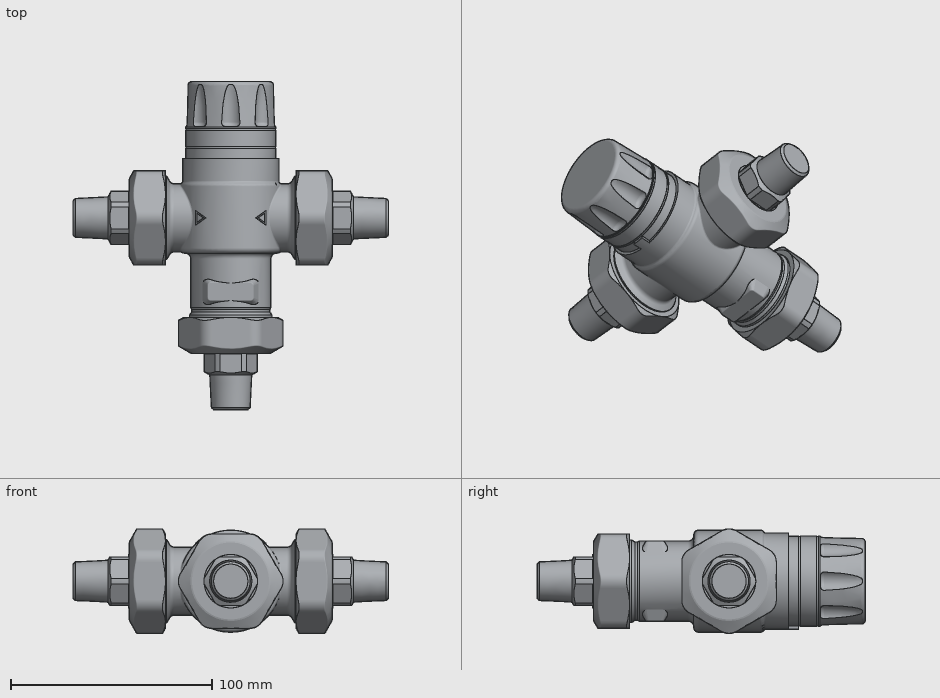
import cadquery as cq
import math

CAP_TOP_Y = 67.85
CAP_BASE_Y = 45.2
CAP_TOP_RADIUS = 21.3
CAP_BASE_RADIUS = 22.3
CAP_EDGE_FILLET = 2.2
RING_RADIUS = 22.5
RING_GROOVES_Y = (34.5, 43.5)
RING_GROOVE_WIDTH = 1.0
RING_GROOVE_DEPTH = 0.15
COLLAR_TOP_Y = 29.6
COLLAR_RADIUS = 24.0
BODY_RADIUS = 25.45
BODY_HALF_LENGTH = 17.6
BODY_TOP_FILLET = 2.0
BODY_BOTTOM_FILLET = 2.5
COLLAR_ROOT_FILLET = 1.0
STEM_RADIUS = 20.0
STEM_ROOT_FILLET = 2.7
STEM_END_Y = -44.5
RELIEF_RADIUS = 19.5
RELIEF_START_Y = -45.6
RELIEF_END_Y = -46.8
FLANGE_THICKNESS = 1.1
FLANGE_RADIUS = 20.6

FLUTE_COUNT = 8
FLUTE_RADIUS = 5.5
FLUTE_DEPTH = 3.0
FLUTE_SWEEP = 30.0
FLUTE_END_FILLET = 2.0
FLUTE_TIP_Y = 66.6
FLUTE_END_Y = 45.4

LUG_WIDTH = 6.0
LUG_TOP_Y = 34.6

PAD_HALF_LENGTH = 11.4
PAD_HALF_WIDTH = 4.5
PAD_CORNER_RADIUS = 1.5
PAD_CENTER_Y = -36.8
PAD_DEPTH = 6.2
PAD_BASE_HALF_LENGTH = 14.2
PAD_BASE_HALF_WIDTH = 8.2
PAD_BASE_CORNER_RADIUS = 4.0
PAD_EDGE_FILLET = 0.5

NECK_RADIUS = 17.0
NECK_BODY_FILLET = 0.8
NECK_STRAIGHT_END = 28.2
NECK_FLARE_RADIUS = 2.5
NECK_FLARE_ANGLE = math.radians(60)
NECK_FLANGE_RADIUS = 20.8

SIDE_NUT_FACE = 50.5
BOTTOM_NUT_FACE = 67.5
NUT_THICKNESS = 18.0
NUT_ACROSS_FLATS = 47.0
NUT_CORNER_FILLET = 7.0
NUT_FACE_RADIUS = 19.15
NUT_CHAMFER_RADIUS = 19.9
NUT_FACE_STEP = 0.2
NUT_CHAMFER_EDGE_FILLET = 0.6
CHAMFER_SLOPE = math.tan(math.radians(30))
HEX_HALF_ANGLE = 30.0
TAIL_ACROSS_FLATS = 24.3
TAIL_HEX_RADIUS = 13.3
TAIL_HEX_END = 10.6
TAIL_COLLAR_THICKNESS = 0.3
TAIL_LENGTH = 28.0
PIPE_ROOT_RADIUS = 10.5
PIPE_END_RADIUS = 9.7
PIPE_CHAMFER = 1.2

ARROW_TIP_X = 12.4
ARROW_LENGTH = 5.1
ARROW_HALF_WIDTH = 3.6
ARROW_LINE = 0.7
ARROW_HEIGHT = 0.3


def cylinder_y(radius, y_from, y_to):
    """Cylinder on the Y axis between two Y positions."""
    return cq.Workplane("XZ", origin=(0, y_to, 0)).circle(radius).extrude(y_to - y_from)


def hex_bar(across_flats, length):
    """Hexagonal bar along Z with two of its corners on the X axis."""
    across_corners = across_flats / math.cos(math.radians(HEX_HALF_ANGLE))
    return cq.Workplane("XY").polygon(6, across_corners).extrude(length)


def spin_z(points):
    """Solid of revolution about Z from (radius, z) points."""
    return cq.Workplane("XZ").polyline(points).close().revolve(360, (0, 0, 0), (0, 1, 0))


def make_cap():
    """Tapered cap with a rounded top edge and grip flutes all round."""
    cap = (
        cq.Workplane("XY")
        .polyline([
            (0, COLLAR_TOP_Y),
            (CAP_BASE_RADIUS, COLLAR_TOP_Y),
            (CAP_BASE_RADIUS, CAP_BASE_Y),
            (CAP_TOP_RADIUS, CAP_TOP_Y),
            (0, CAP_TOP_Y),
        ])
        .close()
        .revolve(360, (0, 0, 0), (0, 1, 0))
        .faces(">Y").edges().fillet(CAP_EDGE_FILLET)
    )
    cutter = make_flute_cutter()
    for i in range(FLUTE_COUNT):
        cap = cap.cut(cutter.rotate((0, 0, 0), (0, 1, 0), i * 360 / FLUTE_COUNT))
    return cap


def make_flute_cutter():
    """Round bar bent gently outward, so the flute runs out to a tip near the top of the cap."""
    run = FLUTE_TIP_Y - FLUTE_END_Y
    floor_z = CAP_BASE_RADIUS - FLUTE_DEPTH
    rise = CAP_TOP_RADIUS - floor_z
    bend_radius = (run**2 + rise**2) / (2 * rise)
    bend_center = bend_radius - FLUTE_RADIUS
    return (
        cq.Workplane("XZ", origin=(0, FLUTE_END_Y, floor_z + FLUTE_RADIUS))
        .circle(FLUTE_RADIUS)
        .revolve(FLUTE_SWEEP, (-1, bend_center), (1, bend_center))
        .faces("<Y").edges().fillet(FLUTE_END_FILLET)
    )


def make_ring():
    """Plain ring between cap and collar, with shallow grooves and a stop lug."""
    ring = cylinder_y(RING_RADIUS, COLLAR_TOP_Y, CAP_BASE_Y)
    for groove_y in RING_GROOVES_Y:
        groove_top = groove_y + RING_GROOVE_WIDTH
        floor = cylinder_y(RING_RADIUS - RING_GROOVE_DEPTH, groove_y, groove_top)
        ring = ring.cut(cylinder_y(COLLAR_RADIUS, groove_y, groove_top).cut(floor))
    lug = cylinder_y(COLLAR_RADIUS, COLLAR_TOP_Y, LUG_TOP_Y).intersect(
        cq.Workplane("XY")
        .box(LUG_WIDTH, 2 * CAP_TOP_Y, COLLAR_RADIUS)
        .translate((0, 0, -COLLAR_RADIUS / 2))
    )
    return ring.union(lug)


def make_body():
    """Filleted barrel with the collar above it and the stem below it."""
    nut_back_y = NUT_THICKNESS - BOTTOM_NUT_FACE
    flange_end_y = nut_back_y - FLANGE_THICKNESS
    flange_top_y = nut_back_y + FLANGE_THICKNESS
    barrel = (
        cylinder_y(BODY_RADIUS, -BODY_HALF_LENGTH, BODY_HALF_LENGTH)
        .faces(">Y").edges().fillet(BODY_TOP_FILLET)
        .faces("<Y").edges().fillet(BODY_BOTTOM_FILLET)
    )
    stem = (
        cq.Workplane("XY")
        .polyline([
            (0, 0),
            (STEM_RADIUS, 0),
            (STEM_RADIUS, STEM_END_Y),
            (RELIEF_RADIUS, RELIEF_START_Y),
            (RELIEF_RADIUS, RELIEF_END_Y),
            (FLANGE_RADIUS, flange_top_y),
            (FLANGE_RADIUS, flange_end_y),
            (0, flange_end_y),
        ])
        .close()
        .revolve(360, (0, 0, 0), (0, 1, 0))
    )
    body = barrel.union(cylinder_y(COLLAR_RADIUS, 0, COLLAR_TOP_Y)).union(stem)

    rim_offset = COLLAR_RADIUS - (BODY_RADIUS - BODY_TOP_FILLET)
    collar_root_y = BODY_HALF_LENGTH - BODY_TOP_FILLET + math.sqrt(BODY_TOP_FILLET**2 - rim_offset**2)
    body = fillet_rim(body, COLLAR_RADIUS, collar_root_y, COLLAR_ROOT_FILLET)
    return fillet_rim(body, STEM_RADIUS, -BODY_HALF_LENGTH, STEM_ROOT_FILLET)


def fillet_rim(solid, radius, y, fillet):
    """Fillet the circular edge of the given radius at the given Y."""
    tolerance = 0.05
    low = (-radius - tolerance, y - tolerance, -radius - tolerance)
    high = (radius + tolerance, y + tolerance, radius + tolerance)
    edges = solid.edges("%CIRCLE").edges(cq.selectors.BoxSelector(low, high, boundingbox=True))
    rims = edges.filter(lambda edge: abs(edge.radius() - radius) < tolerance)
    return rims.fillet(fillet)


def make_necks():
    """Straight round bar through the body, flaring to a flange at each nut."""
    nut_back = SIDE_NUT_FACE - NUT_THICKNESS
    flange_end = nut_back + FLANGE_THICKNESS

    def on_flare(angle):
        along = NECK_STRAIGHT_END + NECK_FLARE_RADIUS * math.sin(angle)
        return along, NECK_RADIUS + NECK_FLARE_RADIUS * (1 - math.cos(angle))

    arc_end = on_flare(NECK_FLARE_ANGLE)
    cone_end = arc_end[0] + (NECK_FLANGE_RADIUS - arc_end[1]) / math.tan(NECK_FLARE_ANGLE)
    half = (
        cq.Workplane("XY")
        .moveTo(0, 0)
        .lineTo(0, NECK_RADIUS)
        .lineTo(NECK_STRAIGHT_END, NECK_RADIUS)
        .threePointArc(on_flare(NECK_FLARE_ANGLE / 2), arc_end)
        .lineTo(cone_end, NECK_FLANGE_RADIUS)
        .lineTo(flange_end, NECK_FLANGE_RADIUS)
        .lineTo(flange_end, 0)
        .close()
        .revolve(360, (0, 0, 0), (1, 0, 0))
    )
    return half.union(half.mirror("YZ"))


def join_necks(body):
    """Add the necks and blend the curves where they meet the barrel."""
    joined = body.union(make_necks())
    margin = 0.5
    reach = NECK_STRAIGHT_END - margin
    girth = NECK_RADIUS + margin
    seam_zone = cq.selectors.BoxSelector((-reach, -girth, -girth), (reach, girth, girth), boundingbox=True)
    seams = joined.edges(seam_zone).filter(lambda edge: edge.geomType() not in ("LINE", "CIRCLE"))
    return seams.fillet(NECK_BODY_FILLET)


def make_pad():
    """Pad with sloping sides whose flat top just touches the stem's +Z line."""

    def outline(half_length, half_width, corner_radius):
        return cq.Sketch().rect(2 * half_length, 2 * half_width).vertices().fillet(corner_radius)

    top = outline(PAD_HALF_LENGTH, PAD_HALF_WIDTH, PAD_CORNER_RADIUS)
    base = outline(PAD_BASE_HALF_LENGTH, PAD_BASE_HALF_WIDTH, PAD_BASE_CORNER_RADIUS)
    return (
        cq.Workplane("XY", origin=(0, PAD_CENTER_Y, STEM_RADIUS))
        .placeSketch(top, base.moved(cq.Location(cq.Vector(0, 0, -PAD_DEPTH))))
        .loft()
        .faces(">Z").edges().fillet(PAD_EDGE_FILLET)
    )


def make_nut():
    """Union nut along Z, outer face at z = 0, body on the -Z side."""
    half_flats = NUT_ACROSS_FLATS / 2
    corner = half_flats / math.cos(math.radians(HEX_HALF_ANGLE))
    envelope = spin_z([
        (0, 0),
        (NUT_FACE_RADIUS, 0),
        (NUT_CHAMFER_RADIUS, -NUT_FACE_STEP),
        (corner, -NUT_FACE_STEP - (corner - NUT_CHAMFER_RADIUS) * CHAMFER_SLOPE),
        (corner, -NUT_THICKNESS + (corner - half_flats) * CHAMFER_SLOPE),
        (half_flats, -NUT_THICKNESS),
        (0, -NUT_THICKNESS),
    ])
    bar = hex_bar(NUT_ACROSS_FLATS, NUT_THICKNESS).edges("|Z").fillet(NUT_CORNER_FILLET)
    nut = bar.translate((0, 0, -NUT_THICKNESS)).intersect(envelope)
    chamfer_rim = cq.selectors.BoxSelector(
        (-corner, -corner, -NUT_THICKNESS / 2), (corner, corner, -2 * NUT_FACE_STEP), boundingbox=True
    )
    return nut.edges(chamfer_rim).fillet(NUT_CHAMFER_EDGE_FILLET)


def make_tail():
    """Hexagonal shank and tapered pipe end along +Z, starting at z = 0."""
    chamfer_drop = (TAIL_HEX_RADIUS - PIPE_ROOT_RADIUS) * CHAMFER_SLOPE
    envelope = spin_z([
        (0, 0),
        (TAIL_HEX_RADIUS, 0),
        (TAIL_HEX_RADIUS, TAIL_HEX_END - chamfer_drop),
        (PIPE_ROOT_RADIUS, TAIL_HEX_END),
        (0, TAIL_HEX_END),
    ])
    shank = hex_bar(TAIL_ACROSS_FLATS, TAIL_HEX_END).intersect(envelope)
    collar = cq.Workplane("XY").circle(TAIL_HEX_RADIUS).extrude(TAIL_COLLAR_THICKNESS)
    pipe = spin_z([
        (0, 0),
        (PIPE_ROOT_RADIUS, 0),
        (PIPE_ROOT_RADIUS, TAIL_HEX_END),
        (PIPE_END_RADIUS, TAIL_LENGTH - PIPE_CHAMFER),
        (PIPE_END_RADIUS - PIPE_CHAMFER, TAIL_LENGTH),
        (0, TAIL_LENGTH),
    ])
    return shank.union(collar).union(pipe)


def make_connector(nut_turn, nut_face):
    """Nut and tail pointing along -Y, with the nut turned about its own axis."""
    nut = make_nut().rotate((0, 0, 0), (0, 0, 1), nut_turn)
    connector = nut.union(make_tail())
    return connector.rotate((0, 0, 0), (1, 0, 0), 90).translate((0, -nut_face, 0))


def make_arrow():
    """Raised triangular outline on the barrel, pointing along -X on the +X side."""
    outline = (
        cq.Workplane("XY")
        .polyline([
            (ARROW_TIP_X, 0),
            (ARROW_TIP_X + ARROW_LENGTH, ARROW_HALF_WIDTH),
            (ARROW_TIP_X + ARROW_LENGTH, -ARROW_HALF_WIDTH),
        ])
        .close()
    )
    opening = outline.offset2D(-ARROW_LINE).extrude(BODY_RADIUS + ARROW_HEIGHT)
    prism = outline.toPending().extrude(BODY_RADIUS + ARROW_HEIGHT)
    skin = cylinder_y(BODY_RADIUS + ARROW_HEIGHT, -NECK_RADIUS, NECK_RADIUS)
    return prism.cut(opening).intersect(skin)


result = join_necks(make_body())
result = result.union(make_ring()).union(make_cap())

pad = make_pad()
result = result.union(pad).union(pad.mirror("XY"))

arrow = make_arrow()
result = result.union(arrow).union(arrow.mirror("YZ"))

side = make_connector(HEX_HALF_ANGLE, SIDE_NUT_FACE)
for turn in (90, -90):
    result = result.union(side.rotate((0, 0, 0), (0, 0, 1), turn))
result = result.union(make_connector(0, BOTTOM_NUT_FACE))